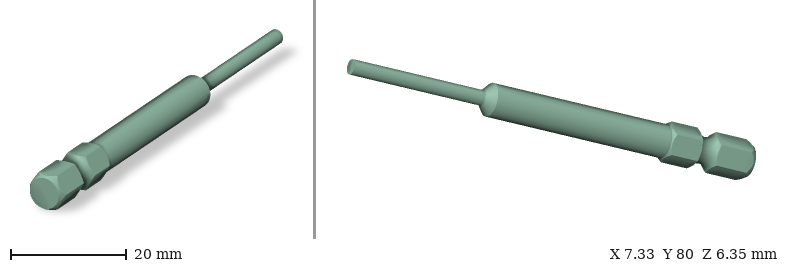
import cadquery as cq
import math

TOTAL_LENGTH = 80.0

HEX_ACROSS_FLATS = 6.35
HEX_ACROSS_CORNERS = HEX_ACROSS_FLATS / math.cos(math.radians(30))
HEX_LENGTH = 17.0
END_FACE_DIAMETER = 5.75
END_CHAMFER_ANGLE = 30.0
BODY_CHAMFER_ANGLE = 45.0

GROOVE_POSITION = 9.3
GROOVE_NECK_DIAMETER = 4.7
GROOVE_ARC_RADIUS = 2.0

BODY_DIAMETER = 6.0
BODY_END = 52.1
SHOULDER_ANGLE = 45.0

PIN_DIAMETER = 2.75


def cone_length(large_diameter, small_diameter, angle):
    """Axial length of a cone whose side is inclined at the angle to the axis."""
    return (large_diameter - small_diameter) / 2 / math.tan(math.radians(angle))


def revolve_profile(points):
    """Solid of revolution about Y from (radius, Y) points in the XY plane."""
    return cq.Workplane("XY").polyline(points).close().revolve(360, (0, 0), (0, 1))


def make_shank_envelope():
    """Round bar across the hexagon corners, coned at both ends."""
    corner_radius = HEX_ACROSS_CORNERS / 2
    end_chamfer = cone_length(HEX_ACROSS_CORNERS, END_FACE_DIAMETER, END_CHAMFER_ANGLE)
    body_chamfer = cone_length(HEX_ACROSS_CORNERS, BODY_DIAMETER, BODY_CHAMFER_ANGLE)
    return revolve_profile([
        (0, 0),
        (END_FACE_DIAMETER / 2, 0),
        (corner_radius, end_chamfer),
        (corner_radius, HEX_LENGTH - body_chamfer),
        (BODY_DIAMETER / 2, HEX_LENGTH),
        (0, HEX_LENGTH),
    ])


def make_groove_cutter():
    """Ring of circular section that leaves the locking groove."""
    ring_radius = GROOVE_NECK_DIAMETER / 2 + GROOVE_ARC_RADIUS
    section = cq.Workplane("XY").center(ring_radius, GROOVE_POSITION).circle(GROOVE_ARC_RADIUS)
    return section.revolve(360, (-ring_radius, 0), (-ring_radius, 1))


def make_shank():
    hexagon = cq.Workplane("XZ").polygon(6, HEX_ACROSS_CORNERS).extrude(-HEX_LENGTH)
    return hexagon.intersect(make_shank_envelope()).cut(make_groove_cutter())


def make_body_and_pin():
    """Round body that tapers through a conical shoulder into the pin."""
    shoulder_end = BODY_END + cone_length(BODY_DIAMETER, PIN_DIAMETER, SHOULDER_ANGLE)
    return revolve_profile([
        (0, HEX_LENGTH),
        (BODY_DIAMETER / 2, HEX_LENGTH),
        (BODY_DIAMETER / 2, BODY_END),
        (PIN_DIAMETER / 2, shoulder_end),
        (PIN_DIAMETER / 2, TOTAL_LENGTH),
        (0, TOTAL_LENGTH),
    ])


result = make_shank().union(make_body_and_pin())